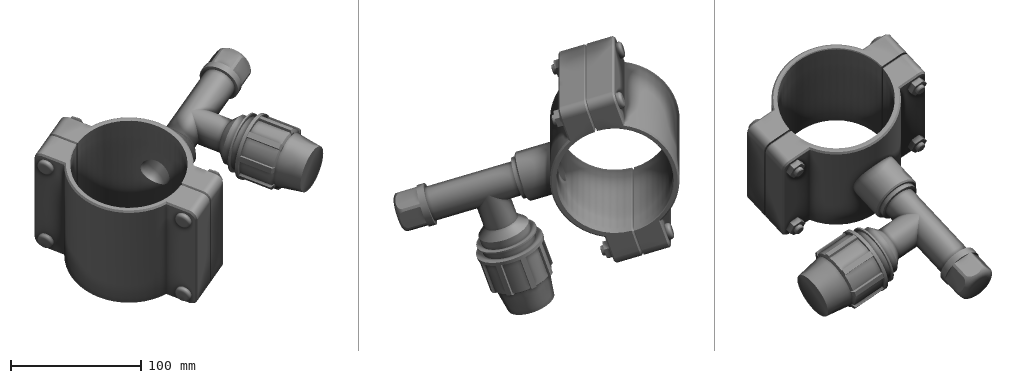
import cadquery as cq
import math


clamp_height = 105.0
clamp_outer_radius = 49.8
clamp_bore_radius = 45.0
ear_reach = 70.5
ear_depth = 22.8
ear_corner_radius = 7.2
edge_chamfer = 1.4
parting_gap = 0.7
bore_chamfer = 0.7

bolt_x = 59.7
bolt_z = 42.0
bolt_diameter = 8.0
bolt_tip_y = 30.5
bolt_tip_chamfer = 0.7
head_diameter = 13.0
head_height = 4.0
head_rounding = 2.5
nut_across_corners = 15.0
nut_height = 4.7

pipe_diameter = 27.3
socket_diameter = 39.5
socket_top = 75.0
socket_chamfer = 1.1
collar_diameter = 33.3
collar_top = 78.5
cap_bottom = 149.4
hex_bottom = 155.0
cap_top = 175.5
cap_end_diameter = 20.0
hex_across_flats = 30.0
port_diameter = 25.0

branch_y = 102.7
cone_start = 31.3
cone_end = 37.9
hub_diameter = 40.5
disc_start = 44.6
disc_end = 46.0
disc_diameter = 48.7
neck_diameter = 43.3
flange_start = 52.3
flange_end = 55.0
flange_diameter = 54.0
grip_end = 83.8
grip_diameter = 48.7
grip_slope_length = 1.4
taper_start_diameter = 44.5
taper_end = 105.0
taper_end_diameter = 37.9
rib_count = 8
rib_width = 4.5
rib_tip_radius = 26.4
rib_end_drop = 2.7


def cylinder_y(diameter, y_start, y_end, x=0, z=0):
    """Cylinder along Y between two Y positions."""
    plane = cq.Plane(origin=(x, y_start, z), xDir=(1, 0, 0), normal=(0, 1, 0))
    return cq.Workplane(plane).circle(diameter / 2).extrude(y_end - y_start)


def hexagon_y(across_corners, y_start, y_end, x=0, z=0):
    """Hexagonal prism along Y with two opposite corners on the X direction."""
    plane = cq.Plane(origin=(x, y_start, z), xDir=(1, 0, 0), normal=(0, 1, 0))
    return cq.Workplane(plane).polygon(6, across_corners).extrude(y_end - y_start)


def cylinder_z(radius):
    """Cylinder along Z over the full clamp height."""
    return cq.Workplane("XY").workplane(offset=-clamp_height / 2).circle(radius).extrude(clamp_height)


def block_y(y_start, y_end):
    """Block as wide and high as the clamp ears between two Y positions."""
    block = cq.Workplane("XY").box(2 * ear_reach, y_end - y_start, clamp_height)
    return block.translate((0, (y_start + y_end) / 2, 0))


def half_clamp(ears, half_space, outer_face):
    """Half clamp: an ear plate, chamfered on its outer face, and half of the round shell."""
    ear_plate = ears.edges("|Y").fillet(ear_corner_radius).faces(outer_face).chamfer(edge_chamfer)
    shell = cylinder_z(clamp_outer_radius).faces("|Z").chamfer(edge_chamfer).intersect(half_space)
    return ear_plate.union(shell)


def upper_clamp():
    """Half that carries the socket; its parting faces are chamfered all round."""
    socket = cylinder_y(socket_diameter, 0, socket_top).faces(">Y").chamfer(socket_chamfer)
    half = half_clamp(block_y(0, ear_depth), block_y(0, clamp_outer_radius), ">Y")
    body = half.union(socket).cut(cylinder_z(clamp_bore_radius))
    return body.faces("<Y").chamfer(edge_chamfer)


def lower_clamp():
    """Plain half, a small gap away from the other; the two ends of its bore are chamfered."""
    end_cone = (
        cq.Workplane("XY")
        .workplane(offset=clamp_height / 2 - bore_chamfer)
        .circle(clamp_bore_radius)
        .workplane(offset=bore_chamfer)
        .circle(clamp_bore_radius + bore_chamfer)
        .loft()
    )
    half = half_clamp(
        block_y(-ear_depth, -parting_gap),
        block_y(-clamp_outer_radius, -parting_gap),
        "<Y",
    )
    return half.cut(cylinder_z(clamp_bore_radius)).cut(end_cone).cut(end_cone.mirror("XY"))


def clamp_bolt(x, z):
    """Button head bolt through both ears, with a nut on the +Y side."""
    head = (
        cylinder_y(head_diameter, -ear_depth - head_height, -ear_depth, x, z)
        .faces("<Y").edges().fillet(head_rounding)
    )
    shank = cylinder_y(bolt_diameter, -ear_depth, bolt_tip_y, x, z).faces(">Y").chamfer(bolt_tip_chamfer)
    nut = hexagon_y(nut_across_corners, ear_depth, ear_depth + nut_height, x, z)
    return head.union(shank).union(nut)


def hex_cap():
    """Round-ended cap with a collar at its base and six flats above it."""
    end_rounding = (collar_diameter - cap_end_diameter) / 2
    blank = cylinder_y(collar_diameter, cap_bottom, cap_top).faces(">Y").edges().fillet(end_rounding)
    across_corners = hex_across_flats / math.cos(math.pi / 6)
    collar_zone = cylinder_y(collar_diameter, cap_bottom, hex_bottom)
    hex_zone = hexagon_y(across_corners, hex_bottom, cap_top)
    return blank.intersect(collar_zone.union(hex_zone))


def riser():
    pipe = cylinder_y(pipe_diameter, socket_top, cap_bottom)
    collar = cylinder_y(collar_diameter, socket_top, collar_top)
    return pipe.union(collar).union(hex_cap())


def fitting_body():
    """Turned profile of the fitting, revolved about its own X axis."""
    pipe_radius = pipe_diameter / 2
    hub_radius = hub_diameter / 2
    disc_radius = disc_diameter / 2
    neck_radius = neck_diameter / 2
    flange_radius = flange_diameter / 2
    grip_radius = grip_diameter / 2
    profile = [
        (0, 0),
        (0, pipe_radius),
        (cone_start, pipe_radius),
        (cone_end, hub_radius),
        (disc_start, hub_radius),
        (disc_start, disc_radius),
        (disc_end, disc_radius),
        (disc_end, neck_radius),
        (flange_start, neck_radius),
        (flange_start, flange_radius),
        (flange_end, flange_radius),
        (flange_end, grip_radius),
        (grip_end - grip_slope_length, grip_radius),
        (grip_end, taper_start_diameter / 2),
        (taper_end, taper_end_diameter / 2),
        (taper_end, 0),
    ]
    return cq.Workplane("XY").polyline(profile).close().revolve(360, (0, 0, 0), (1, 0, 0))


def grip_rib(angle):
    """Straight rib on the grip, with its outer far end sloped."""
    rib_profile = [
        (flange_end, 0),
        (flange_end, rib_tip_radius),
        (grip_end - grip_slope_length, rib_tip_radius),
        (grip_end, rib_tip_radius - rib_end_drop),
        (grip_end, 0),
    ]
    rib = cq.Workplane("XY").polyline(rib_profile).close().extrude(rib_width / 2, both=True)
    return rib.rotate((0, 0, 0), (1, 0, 0), angle)


def compression_fitting():
    fitting = fitting_body()
    rib_pitch = 360 / rib_count
    for index in range(rib_count):
        fitting = fitting.union(grip_rib((index + 0.5) * rib_pitch))
    return fitting.translate((0, branch_y, 0))


result = upper_clamp().union(lower_clamp()).union(riser()).union(compression_fitting())
for bolt_side_x in (-bolt_x, bolt_x):
    for bolt_side_z in (-bolt_z, bolt_z):
        result = result.union(clamp_bolt(bolt_side_x, bolt_side_z))

result = result.cut(cylinder_y(port_diameter, 0, socket_top))